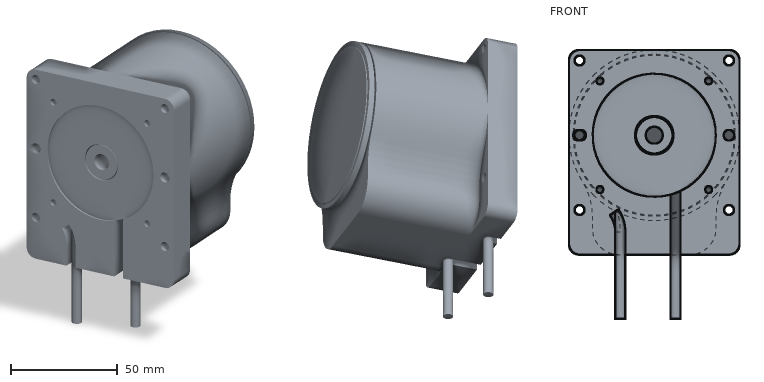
import cadquery as cq
import math


plate_width = 80.0
plate_thickness = 15.0
plate_top = plate_width / 2
plate_bottom = -56.0
plate_corner_radius = 5.0

barrel_radius = 40.0
barrel_end = 71.1
box_half_width = 29.0
box_blend_radius = 32.0
box_corner_radius = 12.5

recess_radius = 28.85
recess_depth = 1.0

corner_hole_diameter = 4.5
corner_hole_spacing = 70.0
tapped_hole_diameter = 3.24
tapped_hole_depth = 8.0
tapped_hole_circle_radius = 36.0
drill_point_angle = 118.0
dowel_diameter = 5.0
slotted_dowel_diameter = 4.8
dowel_depth = 8.0
dowel_offset = 35.0
dowel_slot_length = 6.0
dowel_slot_depth = 0.5

cable_radius = 2.4
cable_end = -86.0
left_cable_x = -15.9
left_cable_y = 5.4
left_bend_radius = 16.0
left_bend_angle = 35.0
left_bend_start = -45.3
left_cable_top = -34.5
right_cable_x = 10.0
right_cable_y = 15.5
right_cable_top = -20.0

hub_diameter = 17.09
hub_setback = 0.25
hub_clearance_diameter = 18.09
hub_clearance_depth = 2.0
hub_bore_diameter = 8.0
hub_bore_depth = 20.0
neck_diameter = 76.0
neck_length = 0.9
flange_diameter = 80.0
flange_thickness = 2.6
cap_diameter = 75.0
rotor_end = 75.0


def rod(diameter, start_y, end_y, x=0.0, z=0.0):
    """Cylinder along Y from start_y to end_y."""
    base = cq.Vector(x, start_y, z)
    solid = cq.Solid.makeCylinder(diameter / 2, end_y - start_y, base, cq.Vector(0, 1, 0))
    return cq.Workplane(obj=solid)


def extrude_back(sketch, length):
    """Extrude an XZ-plane sketch towards +Y."""
    return sketch.extrude(-length)


def make_plate():
    height = plate_top - plate_bottom
    middle = (plate_top + plate_bottom) / 2
    outline = cq.Workplane("XZ").center(0, middle).rect(plate_width, height)
    return extrude_back(outline, plate_thickness).edges("|Y").fillet(plate_corner_radius)


def make_cable_box():
    """Straight-sided box under the barrel, flowing into it through concave arcs."""
    blend_center_x = box_half_width + box_blend_radius
    center_distance = barrel_radius + box_blend_radius
    blend_end_z = -math.sqrt(center_distance**2 - blend_center_x**2)
    tangent_ratio = barrel_radius / center_distance
    tangent_x = blend_center_x * tangent_ratio
    tangent_z = blend_end_z * tangent_ratio
    corner_x = box_half_width - box_corner_radius
    corner_z = plate_bottom + box_corner_radius
    outline = (
        cq.Workplane("XZ")
        .moveTo(-tangent_x, tangent_z)
        .radiusArc((-box_half_width, blend_end_z), box_blend_radius)
        .lineTo(-box_half_width, corner_z)
        .radiusArc((-corner_x, plate_bottom), -box_corner_radius)
        .lineTo(corner_x, plate_bottom)
        .radiusArc((box_half_width, corner_z), -box_corner_radius)
        .lineTo(box_half_width, blend_end_z)
        .radiusArc((tangent_x, tangent_z), box_blend_radius)
        .lineTo(0, 0)
        .close()
    )
    return extrude_back(outline, barrel_end)


def cut_mounting_holes(body):
    half_spacing = corner_hole_spacing / 2
    tapped_offset = tapped_hole_circle_radius * math.sin(math.radians(45))
    tapped_radius = tapped_hole_diameter / 2
    point_length = tapped_radius / math.tan(math.radians(drill_point_angle / 2))
    for side_x in (-1, 1):
        for side_z in (-1, 1):
            corner = (side_x * half_spacing, side_z * half_spacing)
            body = body.cut(rod(corner_hole_diameter, 0, plate_thickness, *corner))

            x = side_x * tapped_offset
            z = side_z * tapped_offset
            point_base = cq.Vector(x, tapped_hole_depth, z)
            point = cq.Solid.makeCone(tapped_radius, 0, point_length, point_base, cq.Vector(0, 1, 0))
            body = body.cut(rod(tapped_hole_diameter, 0, tapped_hole_depth, x, z))
            body = body.cut(cq.Workplane(obj=point))
    return body


def cut_dowel_holes(body):
    """Two blind dowel holes; the left one opens through a short slot."""
    body = body.cut(rod(dowel_diameter, 0, dowel_depth, dowel_offset))
    body = body.cut(rod(slotted_dowel_diameter, 0, dowel_depth, -dowel_offset))
    slot = cq.Workplane("XZ").center(-dowel_offset, 0).slot2D(dowel_slot_length, dowel_diameter)
    return body.cut(extrude_back(slot, dowel_slot_depth))


def channel_profile(x, depth):
    """U-shaped section, open at the mounting face, at the lower edge of the plate."""
    return (
        cq.Workplane("XY", origin=(0, 0, plate_bottom))
        .moveTo(x - cable_radius, 0)
        .lineTo(x - cable_radius, depth)
        .threePointArc((x, depth + cable_radius), (x + cable_radius, depth))
        .lineTo(x + cable_radius, 0)
        .close()
    )


def make_left_channel():
    """Channel that runs up the plate and then bends towards -X."""
    angle = math.radians(left_bend_angle)
    bend_center_x = left_cable_x - left_bend_radius

    def bend_point(turn):
        x = bend_center_x + left_bend_radius * math.cos(turn)
        z = left_bend_start + left_bend_radius * math.sin(turn)
        return (x, z)

    path = (
        cq.Workplane("XZ")
        .moveTo(left_cable_x, plate_bottom)
        .lineTo(left_cable_x, left_bend_start)
        .threePointArc(bend_point(angle / 2), bend_point(angle))
    )
    return channel_profile(left_cable_x, left_cable_y).sweep(path)


def make_right_channel():
    """Straight channel that stops at the round recess."""
    channel = channel_profile(right_cable_x, right_cable_y).extrude(right_cable_top - plate_bottom)
    return channel.cut(rod(2 * recess_radius, 0, barrel_end))


def make_cable(x, y, top):
    return (
        cq.Workplane("XY", origin=(x, y, cable_end))
        .circle(cable_radius)
        .extrude(top - cable_end)
    )


def make_housing():
    body = make_plate()
    body = body.union(rod(2 * barrel_radius, 0, barrel_end))
    body = body.union(make_cable_box())
    body = cut_mounting_holes(body)
    body = cut_dowel_holes(body)
    body = body.cut(make_left_channel()).cut(make_right_channel())
    body = body.union(make_cable(left_cable_x, left_cable_y, left_cable_top))
    body = body.union(make_cable(right_cable_x, right_cable_y, right_cable_top))
    body = body.cut(rod(2 * recess_radius, 0, recess_depth))
    body = body.cut(rod(hub_clearance_diameter, 0, recess_depth + hub_clearance_depth))
    return body.cut(rod(hub_diameter, 0, barrel_end))


def make_rotor():
    """Hub through the housing, carrying a flange behind the barrel."""
    flange_start = barrel_end + neck_length
    flange_end = flange_start + flange_thickness
    hub_start = recess_depth + hub_setback
    body = rod(hub_diameter, hub_start, flange_start)
    body = body.union(rod(neck_diameter, barrel_end, flange_start))
    body = body.union(rod(flange_diameter, flange_start, flange_end))
    body = body.union(rod(cap_diameter, flange_end, rotor_end))
    return body.cut(rod(hub_bore_diameter, hub_start, hub_start + hub_bore_depth))


housing = make_housing().solids()
rotor = make_rotor().solids()

result = cq.Compound.makeCompound([housing.val(), rotor.val()])